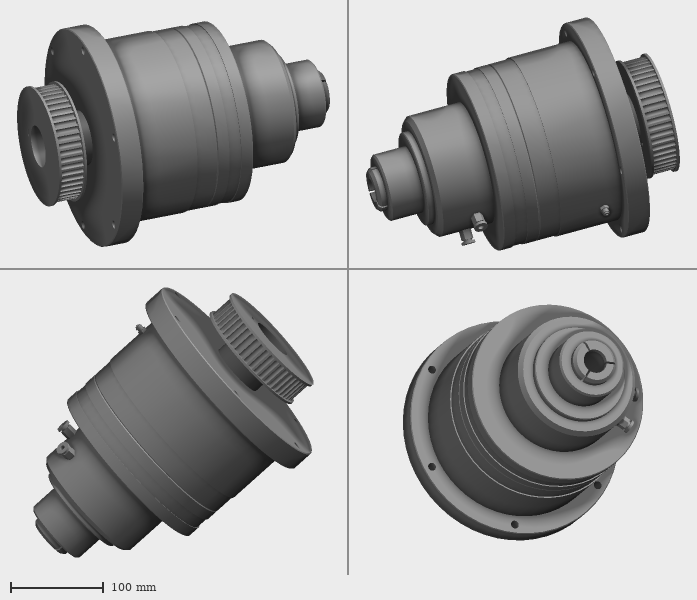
import cadquery as cq
import math


PULLEY_WIDTH = 31.8
FLANGE_FRONT = 51.5
FLANGE_BACK = 76.8
HOUSING_BACK = 146.3
PISTON_RING_BACK = 170.2
GROOVE_FRONT = 183.7
GROOVE_BACK = 197.5
CYLINDER_BACK = 211.2
DISTRIBUTOR_BACK = 274.0
COLLAR_BACK = 281.5
HUB_BACK = 318.5
NOSE_BACK = 328.0

FLANGE_DIA = 240.0
HOUSING_DIA = 200.0
CYLINDER_DIA = 197.5
GROOVE_DIA = 195.0
DISTRIBUTOR_DIA = 135.0
COLLAR_DIA = 104.0
HUB_DIA = 74.0
NOSE_DIA = 49.0
SHAFT_DIA = 60.0
SHAFT_BORE = 46.0
HUB_BORE = 32.0
NOSE_BORE = 26.2

EDGE_BREAK = 1.0
DISTRIBUTOR_CHAMFER = 4.5
HUB_CHAMFER = 2.0
NOSE_CHAMFER = 3.3

MOUNT_HOLE_COUNT = 6
MOUNT_HOLE_DIA = 9.0
MOUNT_CIRCLE_DIA = 220.0

SLOT_COUNT = 3
SLOT_WIDTH = 2.3

TOOTH_COUNT = 50
PULLEY_TIP_DIA = 126.0
PULLEY_RIM_DIA = 132.0
PULLEY_RIM_WIDTH = 2.5
TOOTH_GAP_DIA = 5.5
TOOTH_GAP_CIRCLE_DIA = 125.3
KEYWAY_WIDTH = 8.0
KEYWAY_REACH = 32.8

FITTING_SEAT = DISTRIBUTOR_DIA / 2 - 1.0
FITTING_HEX_TOP = 78.0
FITTING_NECK_TOP = 80.0
FITTING_TOP = 83.0
FITTING_HEX_CORNERS = 13.5
FITTING_NECK_DIA = 9.5
FITTING_CAP_DIA = 15.0
FITTING_PORT_DIA = 6.0
FITTING_PORT_DEPTH = 6.5
FITTING_PLACES = [(231.5, 0), (242.0, 30)]

NIPPLE_Y = 97.5
NIPPLE_SEAT = HOUSING_DIA / 2 - 0.5
NIPPLE_HEX_TOP = 103.3
NIPPLE_NECK_TOP = 106.3
NIPPLE_BEAD_TOP = 107.5
NIPPLE_HEAD_TOP = 109.2
NIPPLE_TIP_TOP = 110.5
NIPPLE_HEX_FLATS = 9.0
NIPPLE_NECK_DIA = 7.0
NIPPLE_BEAD_DIA = 8.0
NIPPLE_HEAD_DIA = 6.0
NIPPLE_TIP_DIA = 2.0


def turned(outer_dia, front, back):
    """Solid cylinder on the spindle axis between two stations."""
    return cq.Workplane("XZ", origin=(0, front, 0)).circle(outer_dia / 2).extrude(front - back)


def make_flange_housing():
    flange = turned(FLANGE_DIA, FLANGE_FRONT, FLANGE_BACK).faces("<Y or >Y").chamfer(EDGE_BREAK)
    barrel = turned(HOUSING_DIA, FLANGE_BACK, HOUSING_BACK)
    mount_holes = (
        cq.Workplane("XZ", origin=(0, FLANGE_FRONT, 0))
        .polarArray(MOUNT_CIRCLE_DIA / 2, 90, 360, MOUNT_HOLE_COUNT)
        .circle(MOUNT_HOLE_DIA / 2)
        .extrude(FLANGE_FRONT - FLANGE_BACK)
    )
    bore = turned(SHAFT_DIA, FLANGE_FRONT, HOUSING_BACK)
    return flange.union(barrel).cut(mount_holes).cut(bore)


def make_piston_ring():
    ring = turned(CYLINDER_DIA, HOUSING_BACK, PISTON_RING_BACK).faces(">Y").chamfer(EDGE_BREAK)
    return ring.cut(turned(SHAFT_DIA, HOUSING_BACK, PISTON_RING_BACK))


def make_cylinder():
    front_band = turned(CYLINDER_DIA, PISTON_RING_BACK, GROOVE_FRONT).faces("<Y").chamfer(EDGE_BREAK)
    groove_floor = turned(GROOVE_DIA, GROOVE_FRONT, GROOVE_BACK)
    back_band = turned(CYLINDER_DIA, GROOVE_BACK, CYLINDER_BACK).faces(">Y").chamfer(EDGE_BREAK)
    bore = turned(SHAFT_DIA, PISTON_RING_BACK, CYLINDER_BACK)
    return front_band.union(groove_floor).union(back_band).cut(bore)


def make_distributor():
    body = turned(DISTRIBUTOR_DIA, CYLINDER_BACK, DISTRIBUTOR_BACK).faces(">Y").chamfer(DISTRIBUTOR_CHAMFER)
    return body.cut(turned(SHAFT_DIA, CYLINDER_BACK, DISTRIBUTOR_BACK))


def make_hub():
    collar = turned(COLLAR_DIA, DISTRIBUTOR_BACK, COLLAR_BACK).faces(">Y").chamfer(EDGE_BREAK)
    barrel = turned(HUB_DIA, COLLAR_BACK, HUB_BACK).faces(">Y").chamfer(HUB_CHAMFER)
    nose = turned(NOSE_DIA, HUB_BACK, NOSE_BACK).faces(">Y").chamfer(NOSE_CHAMFER)
    hub = collar.union(barrel).union(nose)

    taper_length = (HUB_BORE - NOSE_BORE) / 2
    bore = (
        cq.Workplane("XY")
        .moveTo(0, DISTRIBUTOR_BACK)
        .lineTo(HUB_BORE / 2, DISTRIBUTOR_BACK)
        .lineTo(HUB_BORE / 2, HUB_BACK)
        .lineTo(NOSE_BORE / 2, HUB_BACK + taper_length)
        .lineTo(NOSE_BORE / 2, NOSE_BACK)
        .lineTo(0, NOSE_BACK)
        .close()
        .revolve(360, (0, 0, 0), (0, 1, 0))
    )
    hub = hub.cut(bore)

    for index in range(SLOT_COUNT):
        slot = (
            cq.Workplane("XY")
            .box(NOSE_DIA, NOSE_BACK - HUB_BACK, SLOT_WIDTH, centered=(False, False, True))
            .translate((0, HUB_BACK, 0))
            .rotate((0, 0, 0), (0, 1, 0), 180 + index * 360 / SLOT_COUNT)
        )
        hub = hub.cut(slot)
    return hub


def make_shaft():
    return turned(SHAFT_DIA, 0, DISTRIBUTOR_BACK).cut(turned(SHAFT_BORE, 0, DISTRIBUTOR_BACK))


def make_pulley():
    pulley = turned(PULLEY_TIP_DIA, 0, PULLEY_WIDTH)
    tooth_gaps = (
        cq.Workplane("XZ")
        .polarArray(TOOTH_GAP_CIRCLE_DIA / 2, 0, 360, TOOTH_COUNT)
        .circle(TOOTH_GAP_DIA / 2)
        .extrude(-PULLEY_WIDTH)
    )
    pulley = pulley.cut(tooth_gaps)
    for rim_front in (0, PULLEY_WIDTH - PULLEY_RIM_WIDTH):
        pulley = pulley.union(turned(PULLEY_RIM_DIA, rim_front, rim_front + PULLEY_RIM_WIDTH))
    keyway = (
        cq.Workplane("XY")
        .box(KEYWAY_REACH, PULLEY_WIDTH, KEYWAY_WIDTH, centered=(False, False, True))
        .translate((-KEYWAY_REACH, 0, 0))
    )
    return pulley.cut(turned(SHAFT_DIA, 0, PULLEY_WIDTH)).cut(keyway)


def radial_pin(dia, bottom, top):
    """Cylinder along -X at Y = 0, between two distances from the spindle axis."""
    return cq.Workplane("YZ", origin=(-bottom, 0, 0)).circle(dia / 2).extrude(bottom - top)


def radial_hexagon(corner_dia, bottom, top, turn):
    """Hexagonal prism along -X at Y = 0, turned about its own axis by an angle in degrees."""
    prism = cq.Workplane("YZ", origin=(-bottom, 0, 0)).polygon(6, corner_dia).extrude(bottom - top)
    return prism.rotate((0, 0, 0), (1, 0, 0), turn)


def make_fitting(y, angle):
    fitting = radial_hexagon(FITTING_HEX_CORNERS, FITTING_SEAT, FITTING_HEX_TOP, 0)
    fitting = fitting.union(radial_pin(FITTING_NECK_DIA, FITTING_HEX_TOP, FITTING_NECK_TOP))
    fitting = fitting.union(radial_pin(FITTING_CAP_DIA, FITTING_NECK_TOP, FITTING_TOP))
    fitting = fitting.cut(radial_pin(FITTING_PORT_DIA, FITTING_TOP - FITTING_PORT_DEPTH, FITTING_TOP))
    return fitting.rotate((0, 0, 0), (0, 1, 0), -angle).translate((0, y, 0))


def make_nipple():
    corner_dia = NIPPLE_HEX_FLATS / math.cos(math.pi / 6)
    nipple = radial_hexagon(corner_dia, NIPPLE_SEAT, NIPPLE_HEX_TOP, 90)
    nipple = nipple.union(radial_pin(NIPPLE_NECK_DIA, NIPPLE_HEX_TOP, NIPPLE_NECK_TOP))
    nipple = nipple.union(radial_pin(NIPPLE_BEAD_DIA, NIPPLE_NECK_TOP, NIPPLE_BEAD_TOP))
    nipple = nipple.union(radial_pin(NIPPLE_HEAD_DIA, NIPPLE_BEAD_TOP, NIPPLE_HEAD_TOP))
    nipple = nipple.union(radial_pin(NIPPLE_TIP_DIA, NIPPLE_HEAD_TOP, NIPPLE_TIP_TOP))
    return nipple.translate((0, NIPPLE_Y, 0))


nipple = make_nipple()
fittings = [make_fitting(y, angle) for y, angle in FITTING_PLACES]

flange_housing = make_flange_housing().cut(nipple)
distributor = make_distributor()
for fitting in fittings:
    distributor = distributor.cut(fitting)

piston_ring = make_piston_ring()
cylinder = make_cylinder()
hub = make_hub()
shaft = make_shaft()
pulley = make_pulley()

result = cq.Compound.makeCompound(
    [
        flange_housing.val(),
        piston_ring.val(),
        cylinder.val(),
        distributor.val(),
        hub.val(),
        shaft.val(),
        pulley.val(),
        nipple.val(),
        *[fitting.val() for fitting in fittings],
    ]
)